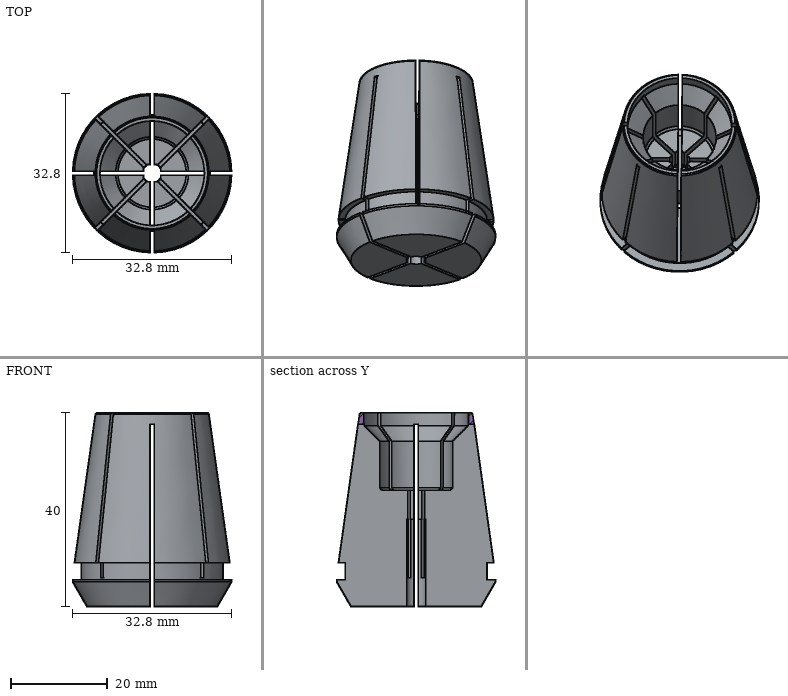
import cadquery as cq
import math

total_height = 40.0
flange_lower_edge = 5.1
flange_top = 5.6
slot_floor_height = 5.95
groove_top = 9.05
square_bottom = 18.0
floor_height = 24.0
orthogonal_slot_top = 37.6

flange_radius = 16.4
groove_radius = 14.65
taper_radius = 16.05
taper_angle = 8.0
flange_bevel_angle = 30.0
rim_chamfer = 0.3

mouth_radius = 10.75
mouth_depth = 2.65
bore_radius = 7.5
bore_floor_chamfer = 0.5
shank_hole_radius = 2.0
square_side = 3.5

slot_width = 0.8
slots_per_set = 2
slot_length = 3 * flange_radius

bottom_radius = flange_radius - flange_lower_edge * math.tan(math.radians(flange_bevel_angle))
rim_base = total_height - rim_chamfer
rim_radius = taper_radius - (rim_base - groove_top) * math.tan(math.radians(taper_angle))
mouth_floor = total_height - mouth_depth
bore_top = mouth_floor - (mouth_radius - bore_radius)


def make_body():
    """Revolve the half section of the tapered collet with its open top cup about Z."""
    section = [
        (0, 0),
        (bottom_radius, 0),
        (flange_radius, flange_lower_edge),
        (flange_radius, flange_top),
        (groove_radius, flange_top),
        (groove_radius, groove_top),
        (taper_radius, groove_top),
        (rim_radius, rim_base),
        (rim_radius - rim_chamfer, total_height),
        (mouth_radius, total_height),
        (mouth_radius, mouth_floor),
        (bore_radius, bore_top),
        (bore_radius, floor_height + bore_floor_chamfer),
        (bore_radius - bore_floor_chamfer, floor_height),
        (0, floor_height),
    ]
    return cq.Workplane("XZ").polyline(section).close().revolve(360, (0, 0), (0, 1))


def make_tool_socket():
    """Round shank hole from the bottom face with a square drive hole above it."""
    shank_hole = cq.Workplane("XY").circle(shank_hole_radius).extrude(square_bottom)
    square_depth = floor_height - square_bottom
    square_hole = cq.Workplane("XY", origin=(0, 0, square_bottom)).rect(square_side, square_side)
    return shank_hole.union(square_hole.extrude(square_depth))


def make_slots(first_angle, bottom, top):
    """Full-width slots crossing the axis, spaced evenly from first_angle."""
    blade = cq.Workplane("XY").box(slot_length, slot_width, top - bottom, centered=(True, True, False))
    blade = blade.translate((0, 0, bottom))
    slots = cq.Workplane("XY")
    for index in range(slots_per_set):
        angle = first_angle + index * 180 / slots_per_set
        slots = slots.add(blade.rotate((0, 0, 0), (0, 0, 1), angle))
    return slots.combine()


orthogonal_slots = make_slots(0, 0, orthogonal_slot_top)
diagonal_slots = make_slots(45, slot_floor_height, total_height)

result = make_body().cut(make_tool_socket()).cut(orthogonal_slots).cut(diagonal_slots)